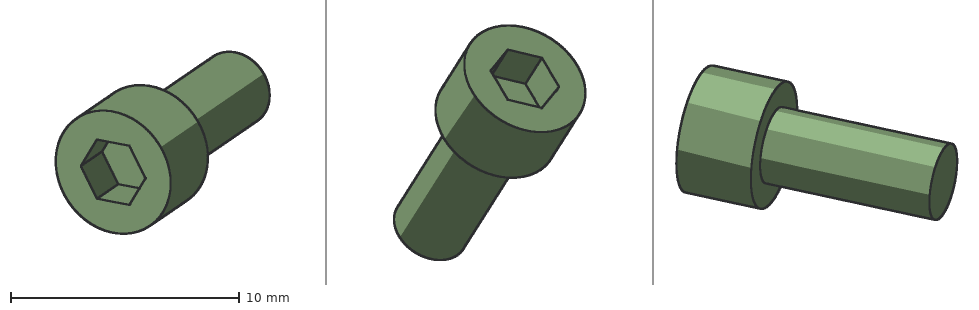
import cadquery as cq
import math

total_length = 11.44
head_diameter = 5.71
head_length = 3.5
shank_diameter = 3.43
socket_across_flats = 2.78
socket_depth = 1.99

shank_length = total_length - head_length
socket_across_corners = socket_across_flats / math.cos(math.radians(30))

head_face = cq.Workplane("XZ")
head = head_face.circle(head_diameter / 2).extrude(-head_length)

shank_start = cq.Workplane("XZ", origin=(0, head_length, 0))
shank = shank_start.circle(shank_diameter / 2).extrude(-shank_length)

socket = head_face.polygon(6, socket_across_corners).extrude(-socket_depth)

result = head.union(shank).cut(socket)